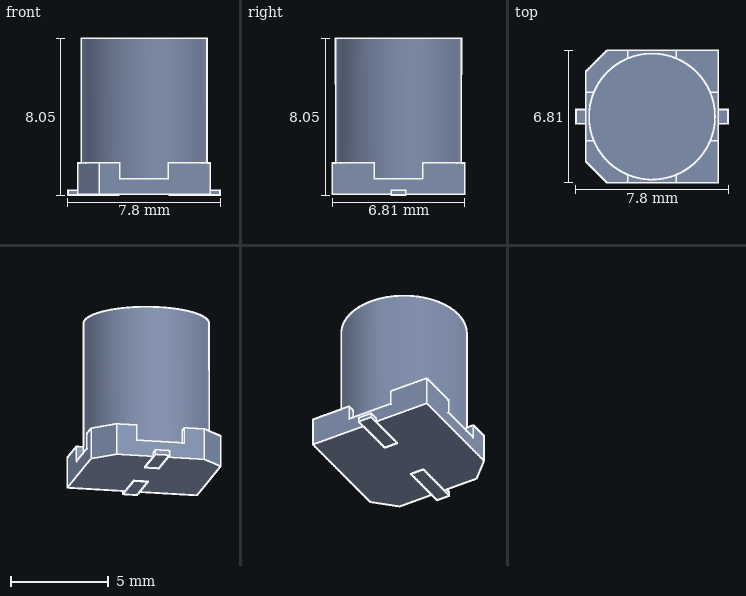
import cadquery as cq

total_height = 8.05
can_diameter = 6.465

base_side = 6.81
base_bottom = 0.03
base_top = 1.65
corner_chamfer = 1.1

notch_width = 2.49
notch_floor = 0.845

lead_span = 7.8
lead_gap = 2.6
lead_width = 0.75
lead_thickness = 0.25


def make_base():
    """Square block with its two -X corners cut off and a notch in the middle of each side."""
    block = (
        cq.Workplane("XY")
        .workplane(offset=base_bottom)
        .rect(base_side, base_side)
        .extrude(base_top - base_bottom)
        .edges("|Z and <X")
        .chamfer(corner_chamfer)
    )
    notch_height = base_top - notch_floor
    floor_plane = cq.Workplane("XY").workplane(offset=notch_floor)
    for length_x, length_y in ((base_side, notch_width), (notch_width, base_side)):
        block = block.cut(floor_plane.rect(length_x, length_y).extrude(notch_height))
    return block


def make_can():
    """Cylinder standing on the notch floor, filling the middle of the base."""
    return (
        cq.Workplane("XY")
        .workplane(offset=notch_floor)
        .circle(can_diameter / 2)
        .extrude(total_height - notch_floor)
    )


def make_lead(side):
    """Flat lead under the base; side is -1 for -X and +1 for +X."""
    lead_length = (lead_span - lead_gap) / 2
    lead_center = (lead_span + lead_gap) / 4
    return (
        cq.Workplane("XY")
        .center(side * lead_center, 0)
        .rect(lead_length, lead_width)
        .extrude(lead_thickness)
    )


result = make_base().union(make_can())
for side in (-1, 1):
    result = result.union(make_lead(side))